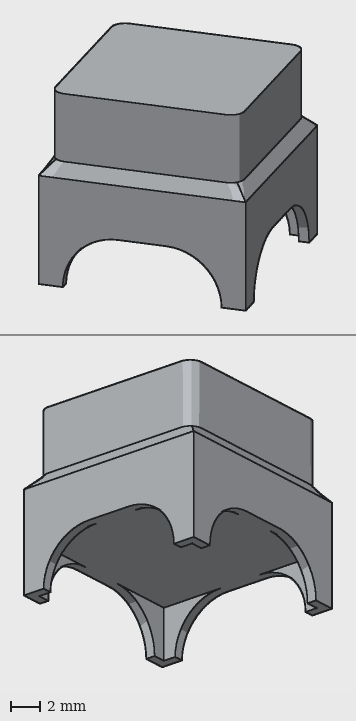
import cadquery as cq
import math

base_side = 15.0
skirt_height = 8.0
shoulder_height = 1.0
total_height = 14.0
cap_side = 13.7
cap_corner_radius = 1.0
arch_width = 11.5
arch_height = 4.0
wall_thickness = 0.75

shoulder_top = skirt_height + shoulder_height
cap_height = total_height - shoulder_top
cavity_side = base_side - 2 * wall_thickness
cavity_depth = arch_height
skirt_flat = (cap_side - 2 * cap_corner_radius) * base_side / cap_side
quadrants = ((1, 1), (-1, 1), (-1, -1), (1, -1))


def skirt():
    return cq.Workplane("XY").rect(base_side, base_side).extrude(skirt_height)


def skirt_rim():
    """Square top edge of the skirt, split where the shoulder faces meet it."""
    half_side = base_side / 2
    half_flat = skirt_flat / 2
    points = [(half_side, -half_flat)]
    for x_sign, y_sign in quadrants:
        side_end = (x_sign * half_side, y_sign * half_flat)
        corner = (x_sign * half_side, y_sign * half_side)
        side_start = (x_sign * half_flat, y_sign * half_side)
        turn = [side_end, corner, side_start]
        points += turn if x_sign == y_sign else turn[::-1]
    return cq.Workplane("XY", origin=(0, 0, skirt_height)).polyline(points).wire().val()


def cap_rim():
    """Rounded square at the foot of the cap, each corner drawn as two eighth-circle arcs."""
    half_side = cap_side / 2
    centre = half_side - cap_corner_radius
    eighth_turn = math.pi / 4

    def on_corner(x_sign, y_sign, angle):
        return (
            x_sign * centre + cap_corner_radius * math.cos(angle),
            y_sign * centre + cap_corner_radius * math.sin(angle),
        )

    rim = cq.Workplane("XY", origin=(0, 0, shoulder_top)).moveTo(half_side, -centre)
    for quadrant, (x_sign, y_sign) in enumerate(quadrants):
        start = quadrant * 2 * eighth_turn
        rim = rim.lineTo(*on_corner(x_sign, y_sign, start))
        for arc_start in (start, start + eighth_turn):
            middle = on_corner(x_sign, y_sign, arc_start + eighth_turn / 2)
            end = on_corner(x_sign, y_sign, arc_start + eighth_turn)
            rim = rim.threePointArc(middle, end)
    return rim.wire().val()


def shoulder():
    """Sloped blend from the sharp-cornered skirt to the round-cornered cap."""
    return cq.Workplane(cq.Solid.makeLoft([skirt_rim(), cap_rim()], True))


def cap():
    return (
        cq.Workplane("XY", origin=(0, 0, shoulder_top))
        .rect(cap_side, cap_side)
        .extrude(cap_height)
        .edges("|Z")
        .fillet(cap_corner_radius)
    )


def cavity():
    """Square recess in the underside that leaves thin skirt walls."""
    return cq.Workplane("XY").rect(cavity_side, cavity_side).extrude(cavity_depth)


def arch(plane):
    """Flat-topped arch with quarter-round sides, running through two opposite skirt walls."""
    half_width = arch_width / 2
    half_flat = half_width - arch_height
    return (
        cq.Workplane(plane)
        .moveTo(-half_width, 0)
        .radiusArc((-half_flat, arch_height), arch_height)
        .lineTo(half_flat, arch_height)
        .radiusArc((half_width, 0), arch_height)
        .close()
        .extrude(base_side / 2, both=True)
    )


result = skirt().union(shoulder()).union(cap()).cut(cavity())
for arch_plane in ("XZ", "YZ"):
    result = result.cut(arch(arch_plane))